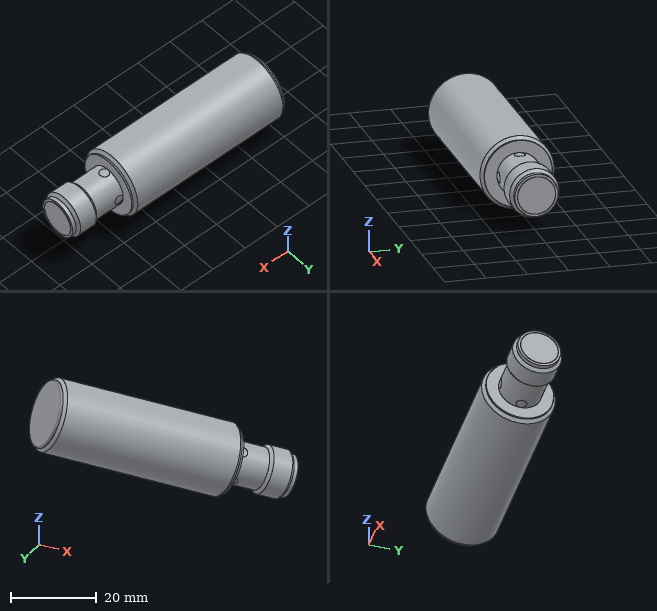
import cadquery as cq

TOTAL_LENGTH = 63.8
SLEEVE_START = 0.6
SLEEVE_END = 47.45
FLANGE_END = 47.9
COLLAR_START = 56.2
COLLAR_END = 62.65

SLEEVE_RADIUS = 9.0
SLEEVE_CHAMFER = 0.75
BORE_RADIUS = SLEEVE_RADIUS - SLEEVE_CHAMFER
CAP_INSERTION = 1.9
CAP_END = SLEEVE_START + CAP_INSERTION
CAP_FILLET = 0.25

NECK_RADIUS = 5.2
COLLAR_RADIUS = 6.0
COLLAR_CHAMFER = COLLAR_RADIUS - NECK_RADIUS

BOSS_RADIUS = 4.6
BOSS_HEIGHT = 0.095
END_FACE = TOTAL_LENGTH - BOSS_HEIGHT

WINDOW_RADIUS = 1.3
WINDOW_X = FLANGE_END + WINDOW_RADIUS


def turned(plane, outline):
    """Revolve a closed outline of (x, radius) points around the X axis."""
    return cq.Workplane(plane).polyline(outline).close().revolve(360, (0, 0), (1, 0))


def make_sleeve():
    """Tube whose outer chamfers run out at the bore on both ends."""
    return turned("XZ", [
        (SLEEVE_START, BORE_RADIUS),
        (SLEEVE_START + SLEEVE_CHAMFER, SLEEVE_RADIUS),
        (SLEEVE_END - SLEEVE_CHAMFER, SLEEVE_RADIUS),
        (SLEEVE_END, BORE_RADIUS),
    ])


def make_cap():
    """Sensing disc that closes the sleeve and stands slightly proud of it."""
    disc = turned("XZ", [(0, 0), (0, BORE_RADIUS), (CAP_END, BORE_RADIUS), (CAP_END, 0)])
    return disc.faces("<X").edges().fillet(CAP_FILLET)


def make_light_guide():
    """Cross of two round bars whose four ends follow the neck surface."""
    bar_z = cq.Workplane("XY").center(WINDOW_X, 0).circle(WINDOW_RADIUS).extrude(NECK_RADIUS, both=True)
    bar_y = bar_z.rotate((0, 0, 0), (1, 0, 0), 90)
    neck = turned("XY", [
        (FLANGE_END, 0),
        (FLANGE_END, -NECK_RADIUS),
        (COLLAR_START, -NECK_RADIUS),
        (COLLAR_START, 0),
    ])
    return bar_z.union(bar_y).intersect(neck)


def make_connector(light_guide):
    """Core that fills the sleeve, with a neck, collar and low end boss behind it."""
    blank = turned("XY", [
        (CAP_END, 0),
        (CAP_END, -BORE_RADIUS),
        (FLANGE_END, -BORE_RADIUS),
        (FLANGE_END, -NECK_RADIUS),
        (COLLAR_START, -NECK_RADIUS),
        (COLLAR_START + COLLAR_CHAMFER, -COLLAR_RADIUS),
        (COLLAR_END - COLLAR_CHAMFER, -COLLAR_RADIUS),
        (COLLAR_END, -NECK_RADIUS),
        (END_FACE, -NECK_RADIUS),
        (END_FACE, -BOSS_RADIUS),
        (TOTAL_LENGTH, -BOSS_RADIUS),
        (TOTAL_LENGTH, 0),
    ])
    return blank.cut(light_guide)


sleeve = make_sleeve()
cap = make_cap()
light_guide = make_light_guide()
connector = make_connector(light_guide)
result = cq.Compound.makeCompound([
    sleeve.val(),
    cap.val(),
    connector.val(),
    light_guide.val(),
])